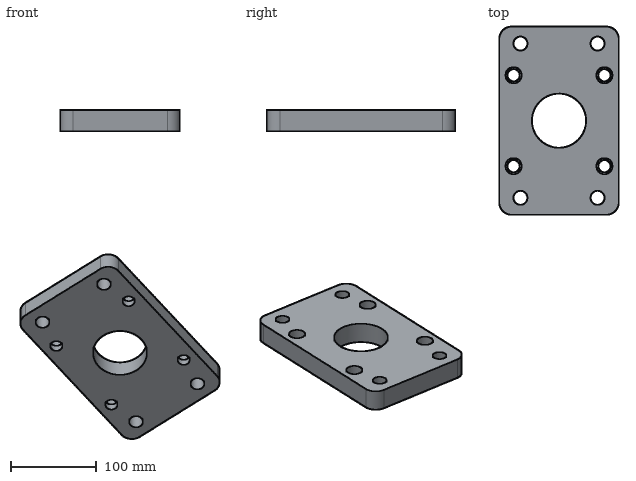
import cadquery as cq

width = 140.0
length = 220.0
thickness = 25.0
corner_radius = 15.0

bore_diameter = 63.0

corner_hole_diameter = 16.0
corner_hole_spacing_x = 90.0
corner_hole_spacing_y = 180.0

screw_spacing = 106.0
screw_hole_diameter = 14.0
counterbore_diameter = 19.0
counterbore_depth = 15.0


def make_plate():
    """Rounded rectangular plate, resting on Z = 0."""
    plate = cq.Workplane("XY").box(width, length, thickness, centered=(True, True, False))
    return plate.edges("|Z").fillet(corner_radius)


def cut_bore(body):
    return body.faces(">Z").workplane(origin=(0, 0, thickness)).hole(bore_diameter)


def cut_corner_holes(body):
    top = body.faces(">Z").workplane(origin=(0, 0, thickness))
    centers = top.rarray(corner_hole_spacing_x, corner_hole_spacing_y, 2, 2)
    return centers.hole(corner_hole_diameter)


def cut_screw_holes(body):
    top = body.faces(">Z").workplane(origin=(0, 0, thickness))
    centers = top.rarray(screw_spacing, screw_spacing, 2, 2)
    return centers.cboreHole(screw_hole_diameter, counterbore_diameter, counterbore_depth)


result = cut_screw_holes(cut_corner_holes(cut_bore(make_plate())))